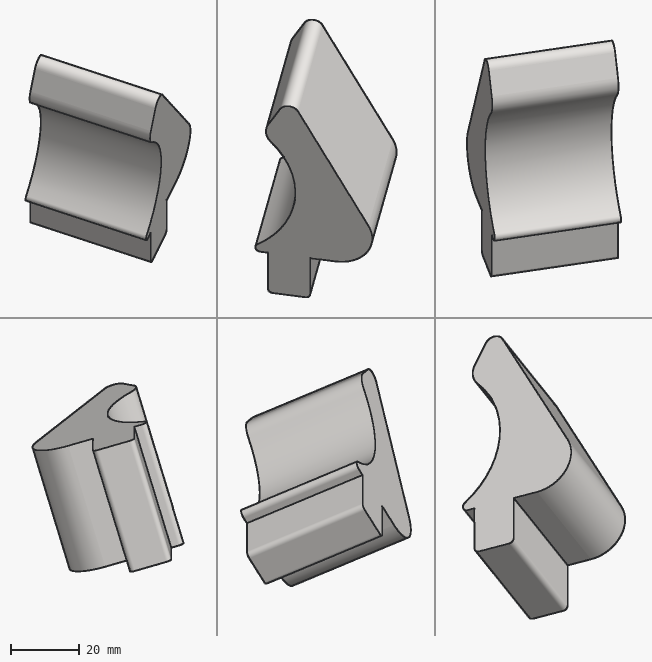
import cadquery as cq
import math

width = 38.1
depth = 34.95
height = 75.3
back_y = depth / 2
front_y = -depth / 2

tongue_height = 15.8
tongue_front_y = -13.7
tongue_thickness = 12.65
tongue_back_y = tongue_front_y + tongue_thickness
tongue_corner_radius = 1.5

heel_radius = 11.0
heel_center = (back_y - heel_radius, tongue_height + heel_radius)
crest_radius = 3.0
crest_center = (-7.4, height - crest_radius)
nose_radius = 6.0
nose_center = (-8.3, 64.1)
lip_radius = 1.6
lip_center = (front_y + lip_radius, tongue_height + lip_radius)

saddle_radius = 28.1


def point_on_circle(center, radius, angle):
    return (center[0] + radius * math.cos(angle), center[1] + radius * math.sin(angle))


def direction(start, end):
    return math.atan2(end[1] - start[1], end[0] - start[0])


def outer_normal(start_center, start_radius, end_center, end_radius):
    """Angle of the right-hand normal of the outer tangent line of two circles."""
    lean = math.acos((start_radius - end_radius) / math.dist(start_center, end_center))
    return direction(start_center, end_center) - lean


def find_saddle_center():
    """Centre, in front of the body, of the circle touching the nose and the lip from outside."""
    nose_reach = saddle_radius + nose_radius
    lip_reach = saddle_radius + lip_radius
    spacing = math.dist(nose_center, lip_center)
    cosine = (nose_reach**2 + spacing**2 - lip_reach**2) / (2 * nose_reach * spacing)
    angle = direction(nose_center, lip_center) - math.acos(cosine)
    return point_on_circle(nose_center, nose_reach, angle)


def arc_to(outline, center, radius, start_angle, end_angle):
    """Continue the outline along a circle, from one angle to another."""
    middle = point_on_circle(center, radius, (start_angle + end_angle) / 2)
    end = point_on_circle(center, radius, end_angle)
    return outline.threePointArc(middle, end)


def make_body():
    """Body outline, walked from the heel up the back, over the crest and down the front."""
    down = -math.pi / 2
    back_normal = outer_normal(heel_center, heel_radius, crest_center, crest_radius)
    brow_normal = outer_normal(crest_center, crest_radius, nose_center, nose_radius)
    brow_normal += 2 * math.pi
    saddle_center = find_saddle_center()
    nose_to_saddle = direction(nose_center, saddle_center) + 2 * math.pi
    lip_to_saddle = direction(lip_center, saddle_center)

    outline = cq.Workplane("YZ").moveTo(heel_center[0], tongue_height)
    outline = arc_to(outline, heel_center, heel_radius, down, back_normal)
    outline = outline.lineTo(*point_on_circle(crest_center, crest_radius, back_normal))
    outline = arc_to(outline, crest_center, crest_radius, back_normal, brow_normal)
    outline = outline.lineTo(*point_on_circle(nose_center, nose_radius, brow_normal))
    outline = arc_to(outline, nose_center, nose_radius, brow_normal, nose_to_saddle)
    outline = arc_to(
        outline, saddle_center, saddle_radius, nose_to_saddle - math.pi, lip_to_saddle - math.pi
    )
    outline = arc_to(outline, lip_center, lip_radius, lip_to_saddle, 2 * math.pi + down)
    return outline.close().extrude(width / 2, both=True)


def make_tongue():
    """Rectangular bar, reaching up into the body, with rounded lower edges."""
    overlap = lip_radius
    bar_height = tongue_height + overlap
    bar_center_y = (tongue_front_y + tongue_back_y) / 2
    bar = cq.Workplane("XY").center(0, bar_center_y).rect(width, tongue_thickness).extrude(bar_height)
    return bar.edges("|X and <Z").fillet(tongue_corner_radius)


result = make_body().union(make_tongue())